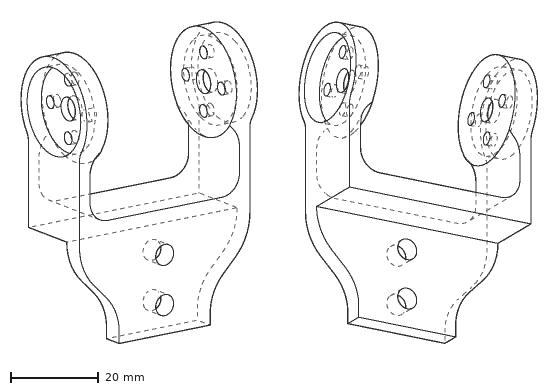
import cadquery as cq
import math

height = 67.95
fork_width = 48.4
disc_diameter = 25.9
half_fork = fork_width / 2
disc_radius = disc_diameter / 2
axis_z = height - disc_radius

arm_width = 20.0
half_arm = arm_width / 2
arm_thickness = 3.0
disc_thickness = 6.0
base_bottom = 25.0
base_thickness = 5.0
inside_radius = 5.0
neck_radius = 4.0
step_radius = neck_radius

recess_diameter = 21.0
recess_depth = 4.0
center_hole_diameter = 5.6
screw_hole_diameter = 3.0
screw_circle_radius = 7.0
screw_count = 4

tab_thickness = 5.0
tab_end_half_width = disc_radius
tab_shoulder_radius = 14.0
tab_waist_inset = 3.6
tab_end_height = 3.7
tab_hole_diameter = 5.0
tab_hole_heights = (7.0, 19.0)


def base_channel():
    """U-shaped channel whose walls reach up to the disc axis."""
    channel = (
        cq.Workplane("XY")
        .box(arm_width, fork_width, axis_z - base_bottom, centered=(True, True, False))
        .translate((0, 0, base_bottom))
    )
    opening_bottom = base_bottom + base_thickness
    opening = (
        cq.Workplane("XY")
        .box(arm_width, fork_width - 2 * arm_thickness, height, centered=(True, True, False))
        .edges("|X and <Z")
        .fillet(inside_radius)
        .translate((0, 0, opening_bottom))
    )
    return channel.cut(opening)


def arm_outline():
    """Disc blended into the straight arm, extruded inward from the outer face at -Y."""
    center_distance = disc_radius + neck_radius
    blend_x = half_arm + neck_radius
    blend_drop = math.sqrt(center_distance**2 - blend_x**2)
    blend_z = axis_z - blend_drop
    rim_x = blend_x * disc_radius / center_distance
    rim_z = axis_z - blend_drop * disc_radius / center_distance
    half_angle = math.atan2(blend_drop, blend_x) / 2
    mid_x = blend_x - neck_radius * math.cos(half_angle)
    mid_z = blend_z + neck_radius * math.sin(half_angle)
    arm_foot = base_bottom + base_thickness
    return (
        cq.Workplane("XZ", origin=(0, -half_fork, 0))
        .moveTo(-half_arm, arm_foot)
        .lineTo(half_arm, arm_foot)
        .lineTo(half_arm, blend_z)
        .threePointArc((mid_x, mid_z), (rim_x, rim_z))
        .threePointArc((0, height), (-rim_x, rim_z))
        .threePointArc((-mid_x, mid_z), (-half_arm, blend_z))
        .close()
        .extrude(-disc_thickness)
    )


def arm_envelope():
    """Round arm plate and disc, with a concave blend that runs out at the disc inner face."""
    plate_y = -half_fork + arm_thickness
    disc_y = -half_fork + disc_thickness
    flange_radius = disc_radius + step_radius
    blend_center_y = plate_y + step_radius
    end_angle = math.asin((blend_center_y - disc_y) / step_radius)
    mid_angle = (end_angle + math.pi / 2) / 2
    end_radius = flange_radius - step_radius * math.cos(end_angle)
    mid_radius = flange_radius - step_radius * math.cos(mid_angle)
    mid_y = blend_center_y - step_radius * math.sin(mid_angle)
    return (
        cq.Workplane("XY")
        .moveTo(0, -half_fork)
        .lineTo(flange_radius, -half_fork)
        .lineTo(flange_radius, plate_y)
        .threePointArc((mid_radius, mid_y), (end_radius, disc_y))
        .lineTo(0, disc_y)
        .close()
        .revolve(360, (0, 0, 0), (0, 1, 0))
        .translate((0, 0, axis_z))
    )


def disc_cutter():
    """Outer recess, center hole and screw holes of the disc at -Y."""
    outer_face = cq.Workplane("XZ", origin=(0, -half_fork, axis_z))
    recess = outer_face.circle(recess_diameter / 2).extrude(-recess_depth)
    center_hole = outer_face.circle(center_hole_diameter / 2).extrude(-disc_thickness)
    screw_holes = (
        outer_face.polarArray(screw_circle_radius, 0, 360, screw_count)
        .circle(screw_hole_diameter / 2)
        .extrude(-disc_thickness)
    )
    return recess.union(center_hole).union(screw_holes)


def mounting_tab():
    """Plate below the base, narrowed on both sides by S-curves with a 45 degree middle."""
    shoulder_y = half_fork - tab_shoulder_radius * (1 - math.sqrt(0.5))
    shoulder_z = base_bottom - tab_shoulder_radius * math.sqrt(0.5)
    waist_y = tab_end_half_width + tab_waist_inset
    waist_z = shoulder_z - (shoulder_y - waist_y)
    shoulder_mid = (
        half_fork - tab_shoulder_radius * (1 - math.cos(math.pi / 8)),
        base_bottom - tab_shoulder_radius * math.sin(math.pi / 8),
    )
    half_plate = (
        cq.Workplane("YZ", origin=(half_arm - tab_thickness, 0, 0))
        .moveTo(0, base_bottom)
        .lineTo(half_fork, base_bottom)
        .threePointArc(shoulder_mid, (shoulder_y, shoulder_z))
        .lineTo(waist_y, waist_z)
        .tangentArcPoint((tab_end_half_width, tab_end_height), relative=False)
        .lineTo(tab_end_half_width, 0)
        .lineTo(0, 0)
        .close()
        .extrude(tab_thickness)
    )
    holes = (
        cq.Workplane("YZ", origin=(half_arm - tab_thickness, 0, 0))
        .pushPoints([(0, hole_z) for hole_z in tab_hole_heights])
        .circle(tab_hole_diameter / 2)
        .extrude(tab_thickness)
    )
    return half_plate.union(half_plate.mirror("XZ")).cut(holes)


arm_end = arm_outline().intersect(arm_envelope())
cutter = disc_cutter()

result = base_channel().union(mounting_tab())
result = result.union(arm_end).union(arm_end.mirror("XZ"))
result = result.cut(cutter).cut(cutter.mirror("XZ")).clean()